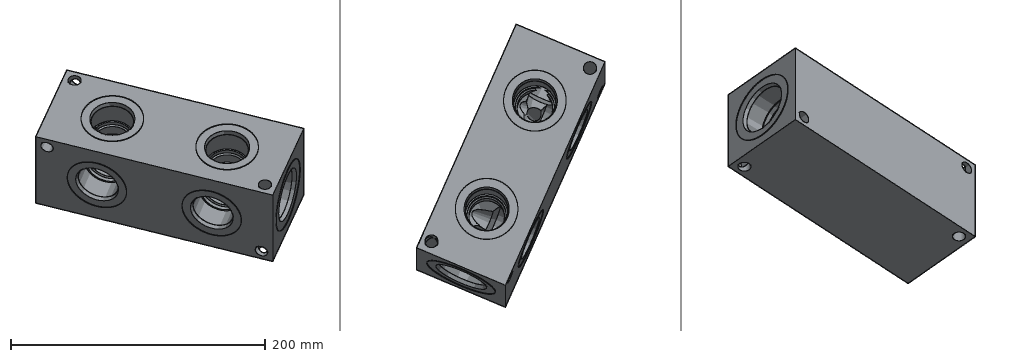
import cadquery as cq
import math

LENGTH = 196.8
SIDE = 76.2

PORT_OFFSET = 47.6
MOUNT_DIAMETER = 10.2
MOUNT_X = 89.0
MOUNT_OFFSET = 29.3

SPOTFACE_DEPTH = 0.5
SEAL_CONE_LENGTH = 3.3
DRILL_POINT_ANGLE = 118.0
PILOT_POINT_ANGLE = 26.0

SIDE_PORT = {
    "spotface": 49.2,
    "seal_mouth": 35.5,
    "seal_throat": 33.7,
    "thread": 33.3,
    "tap_drill": 30.7,
    "bore": 28.0,
    "thread_depth": 20.3,
    "tap_drill_depth": 23.5,
    "bore_depth": 32.5,
}
SIDE_PILOT_DIAMETER = 16.0

END_PORT = {
    "spotface": 58.7,
    "seal_mouth": 43.5,
    "seal_throat": 41.7,
    "thread": 41.3,
    "tap_drill": 39.2,
    "bore": 38.2,
    "thread_depth": 20.3,
    "tap_drill_depth": 24.5,
    "bore_depth": 34.8,
}
END_PILOT_DIAMETER = 22.0


def point_length(large_diameter, small_diameter, point_angle):
    """Axial length of a conical drill point between two diameters."""
    return (large_diameter - small_diameter) / 2 / math.tan(math.radians(point_angle / 2))


def port_cavity(sizes, pilot_diameter=0.0):
    """Port revolved about Z, with its mouth at Z = 0 and its drill point downward.

    A pilot diameter adds a slender cone that runs on from the drill point.
    """
    seal_end = SPOTFACE_DEPTH + SEAL_CONE_LENGTH
    bore_start = sizes["tap_drill_depth"] + point_length(sizes["tap_drill"], sizes["bore"], DRILL_POINT_ANGLE)
    point_end = sizes["bore_depth"] + point_length(sizes["bore"], pilot_diameter, DRILL_POINT_ANGLE)
    stations = [
        (sizes["spotface"], 0),
        (sizes["spotface"], SPOTFACE_DEPTH),
        (sizes["seal_mouth"], SPOTFACE_DEPTH),
        (sizes["seal_throat"], seal_end),
        (sizes["thread"], seal_end),
        (sizes["thread"], sizes["thread_depth"]),
        (sizes["tap_drill"], sizes["thread_depth"]),
        (sizes["tap_drill"], sizes["tap_drill_depth"]),
        (sizes["bore"], bore_start),
        (sizes["bore"], sizes["bore_depth"]),
        (pilot_diameter, point_end),
    ]
    if pilot_diameter > 0:
        stations.append((0, point_end + point_length(pilot_diameter, 0, PILOT_POINT_ANGLE)))
    outline = [(0, 0)] + [(diameter / 2, -depth) for diameter, depth in stations]
    return cq.Workplane("XZ").polyline(outline).close().revolve(360, (0, 0), (0, 1))


def top_port(x, pilot_diameter=0.0):
    return port_cavity(SIDE_PORT, pilot_diameter).translate((x, 0, SIDE / 2))


def front_port(x, pilot_diameter=0.0):
    cavity = port_cavity(SIDE_PORT, pilot_diameter).rotate((0, 0, 0), (1, 0, 0), 90)
    return cavity.translate((x, -SIDE / 2, 0))


def end_port(direction, pilot_diameter=0.0):
    """End port on the +X face (direction 1) or the -X face (direction -1)."""
    cavity = port_cavity(END_PORT, pilot_diameter).rotate((0, 0, 0), (0, 1, 0), 90 * direction)
    return cavity.translate((direction * LENGTH / 2, 0, 0))


result = cq.Workplane("XY").box(LENGTH, SIDE, SIDE)

ports = [
    front_port(-PORT_OFFSET, SIDE_PILOT_DIAMETER),
    top_port(-PORT_OFFSET),
    end_port(-1),
    front_port(PORT_OFFSET, SIDE_PILOT_DIAMETER),
    top_port(PORT_OFFSET, SIDE_PILOT_DIAMETER),
    end_port(1, END_PILOT_DIAMETER),
]
for port in ports:
    result = result.cut(port)

mount_points = [(-MOUNT_X, MOUNT_OFFSET), (MOUNT_X, -MOUNT_OFFSET)]
for plane in ("XY", "XZ"):
    holes = cq.Workplane(plane).pushPoints(mount_points).circle(MOUNT_DIAMETER / 2).extrude(SIDE, both=True)
    result = result.cut(holes)